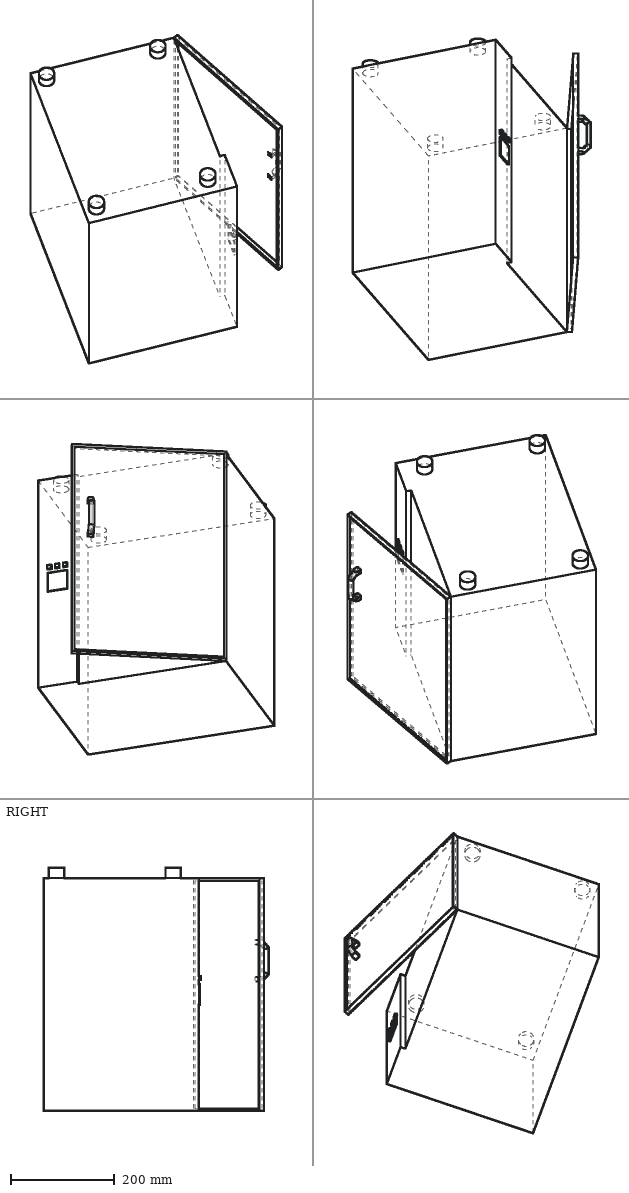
import cadquery as cq
import math

housing_width = 380.0
housing_depth = 290.0
housing_height = 450.0
overall_height = 470.0

strip_width = 80.0
strip_depth = 10.0

plate_size = 40.0
plate_thickness = 2.5
button_size = 8.0
button_height = 4.0
button_count = 3
button_pitch = (plate_size - button_size) / (button_count - 1)
button_gap = button_pitch - button_size
controls_x = housing_width - strip_width / 2
plate_z = housing_height / 2
button_z = plate_z + plate_size / 2 + button_gap + button_size / 2

foot_diameter = 30.0
foot_height = overall_height - housing_height
foot_side_inset = 25.0
foot_back_inset = 25.0
foot_spacing_x = 325.2
foot_spacing_y = 225.0

door_length = housing_width - strip_width
door_thickness = strip_depth
door_angle = 25
door_rim = 5.0
door_recess_depth = 8.0

handle_width = 11.0
handle_bar_thickness = 8.5
handle_edge_radius = 4.0
handle_span = 80.0
handle_grip_length = 52.0
handle_corner_angle = 45
handle_reach = 26.0
handle_from_hinge = 264.5
handle_z = 290.0


def make_housing():
    block = cq.Workplane("XY").box(housing_width, housing_depth, housing_height, centered=False)
    block = block.translate((0, -housing_depth, 0))
    strip = cq.Workplane("XY").box(strip_width, strip_depth, housing_height, centered=False)
    strip = strip.translate((housing_width - strip_width, 0, 0))
    housing = block.union(strip)
    return housing.union(make_feet()).union(make_plate()).union(make_buttons())


def make_feet():
    centre_x = foot_side_inset + foot_spacing_x / 2
    centre_y = foot_back_inset - housing_depth + foot_spacing_y / 2
    return (
        cq.Workplane("XY", origin=(centre_x, centre_y, housing_height))
        .rarray(foot_spacing_x, foot_spacing_y, 2, 2)
        .circle(foot_diameter / 2)
        .extrude(foot_height)
    )


def make_plate():
    return (
        cq.Workplane("XZ", origin=(controls_x, strip_depth, plate_z))
        .rect(plate_size, plate_size)
        .extrude(-plate_thickness)
    )


def make_buttons():
    return (
        cq.Workplane("XZ", origin=(controls_x, strip_depth, button_z))
        .rarray(button_pitch, 4.5, button_count, 1)
        .rect(button_size, button_size)
        .extrude(-button_height)
    )


def bracket_outline(span, grip_length, reach):
    """Flat bracket shape: posts on the door face, sloped corners, straight grip."""
    half_span = span / 2
    half_grip = grip_length / 2
    post_length = reach - (half_span - half_grip) / math.tan(math.radians(handle_corner_angle))
    return (
        cq.Workplane("YZ")
        .moveTo(0, -half_span)
        .lineTo(post_length, -half_span)
        .lineTo(reach, -half_grip)
        .lineTo(reach, half_grip)
        .lineTo(post_length, half_span)
        .lineTo(0, half_span)
        .close()
    )


def make_handle():
    grip_shortening = 2 * handle_bar_thickness * math.tan(math.radians(handle_corner_angle / 2))
    outer = bracket_outline(handle_span, handle_grip_length, handle_reach)
    inner = bracket_outline(
        handle_span - 2 * handle_bar_thickness,
        handle_grip_length - grip_shortening,
        handle_reach - handle_bar_thickness,
    )
    bar = outer.extrude(handle_width / 2, both=True).cut(inner.extrude(handle_width / 2, both=True))
    bar = bar.faces("<X or >X").edges("not (|Y or <Y)").fillet(handle_edge_radius)
    return bar.translate((handle_from_hinge, door_thickness, handle_z))


def make_door():
    """Door built closed against the front face, then swung open about the hinge edge."""
    panel = cq.Workplane("XY").box(door_length, door_thickness, housing_height, centered=False)
    recess_length = door_length - 2 * door_rim
    recess_height = housing_height - 2 * door_rim
    recess = cq.Workplane("XY").box(recess_length, door_recess_depth, recess_height, centered=False)
    recess = recess.translate((door_rim, 0, door_rim))
    door = panel.cut(recess).union(make_handle())
    return door.rotate((0, 0, 0), (0, 0, 1), door_angle)


housing = make_housing()
door = make_door()

result = cq.Compound.makeCompound([housing.solids().val(), door.solids().val()])